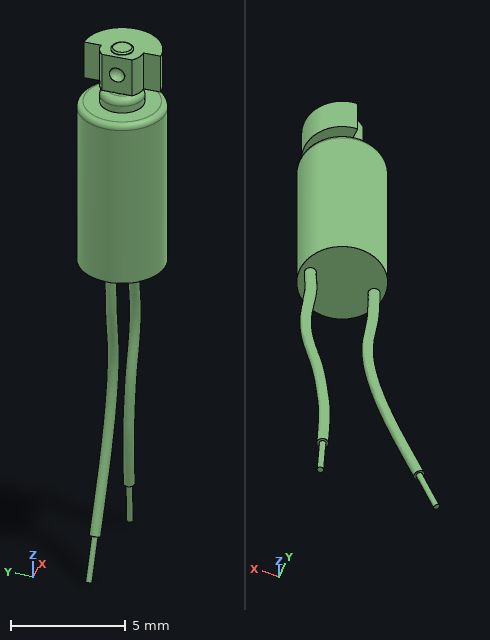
import cadquery as cq
import math

total_height = 25.15
wire_reach = 14.17

can_diameter = 4.0
can_height = 8.2
can_fillet = 0.28

collar_diameter = 2.0
collar_height = 0.68
collar_fillet = 0.33

shaft_diameter = 1.0
shaft_top = total_height - wire_reach
shaft_chamfer = 0.08
shaft_protrusion = 0.1

weight_radius = 1.79
weight_height = 1.85
weight_top = shaft_top - shaft_protrusion
weight_bottom = weight_top - weight_height
hub_radius = collar_diameter / 2
hub_flat_x = -0.7
dimple_radius = 0.35

insulation_diameter = 0.53
core_diameter = 0.3
wire_root_x = 1.5


def upright_cylinder(diameter, bottom, height):
    return cq.Workplane("XY").workplane(offset=bottom).circle(diameter / 2).extrude(height)


def make_motor_body():
    can = upright_cylinder(can_diameter, 0, can_height).faces(">Z").edges().fillet(can_fillet)
    collar = upright_cylinder(collar_diameter, can_height, collar_height)
    collar = collar.faces(">Z").edges().fillet(collar_fillet)
    shaft = upright_cylinder(shaft_diameter, can_height, shaft_top - can_height)
    shaft = shaft.faces(">Z").edges().chamfer(shaft_chamfer)
    return can.union(collar).union(shaft)


def make_weight():
    """Half-disc weight on a round hub with a flat front and a spherical dimple."""
    hub_flat_half_width = math.sqrt(hub_radius**2 - hub_flat_x**2)
    arc_angle = (math.pi / 2 + math.atan2(hub_flat_half_width, hub_flat_x)) / 2
    arc_x = hub_radius * math.cos(arc_angle)
    arc_y = hub_radius * math.sin(arc_angle)
    return (
        cq.Workplane("XY")
        .workplane(offset=weight_bottom)
        .moveTo(0, -weight_radius)
        .threePointArc((weight_radius, 0), (0, weight_radius))
        .lineTo(0, hub_radius)
        .threePointArc((arc_x, arc_y), (hub_flat_x, hub_flat_half_width))
        .lineTo(hub_flat_x, -hub_flat_half_width)
        .threePointArc((arc_x, -arc_y), (0, -hub_radius))
        .close()
        .extrude(weight_height)
    )


def make_dimple():
    dimple_z = (weight_bottom + weight_top) / 2
    return cq.Workplane("YZ").sphere(dimple_radius).translate((hub_flat_x, 0, dimple_z))


def make_wire(root_x, bends, core_tip):
    """Insulated lead through the (X, Z) bends, with a straight bare core to the tip."""
    insulation_end = bends[-1]
    lead_x = core_tip[0] - insulation_end[0]
    lead_z = core_tip[1] - insulation_end[1]
    path = (
        cq.Workplane("XZ")
        .moveTo(root_x, 0)
        .spline(bends, tangents=[(0, -1), (lead_x, lead_z)], includeCurrent=True)
    )
    insulation = cq.Workplane("XY").center(root_x, 0).circle(insulation_diameter / 2).sweep(path)
    core = cq.Workplane(
        cq.Solid.makeCylinder(
            core_diameter / 2,
            math.hypot(lead_x, lead_z),
            cq.Vector(insulation_end[0], 0, insulation_end[1]),
            cq.Vector(lead_x, 0, lead_z),
        )
    )
    return insulation.union(core)


left_wire = make_wire(
    -wire_root_x,
    [(-1.43, -2.05), (-1.2, -4.03), (-1.4, -6.15), (-2.06, -8.4), (-3.65, -12.18)],
    (-4.48, -14.1),
)
right_end_x = 0.93
right_end_z = -12.18
right_core_tilt = math.radians(3)
right_tip_z = -wire_reach + core_diameter / 2 * math.sin(right_core_tilt)
right_tip_x = right_end_x + (right_end_z - right_tip_z) * math.tan(right_core_tilt)
right_wire = make_wire(
    wire_root_x,
    [
        (1.48, -1.13),
        (1.64, -2.5),
        (1.74, -3.85),
        (1.55, -5.23),
        (1.2, -6.6),
        (0.93, -8.55),
        (right_end_x, right_end_z),
    ],
    (right_tip_x, right_tip_z),
)

motor = make_motor_body().union(make_weight()).cut(make_dimple())
result = motor.union(left_wire).union(right_wire)